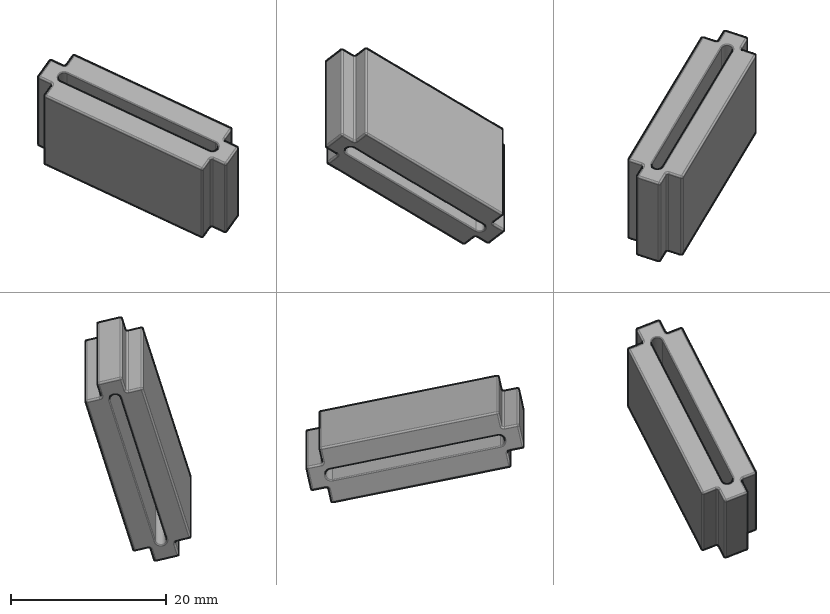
import cadquery as cq

length = 28.0
depth = 7.7
height = 15.0
block_length = 23.6
tongue_depth = 3.33
edge_radius = 0.25
corner_radius = 0.25
slot_length = 23.52
slot_width = 1.48
slot_edge_radius = 0.15


def make_blank():
    """Upright block with a full-height tongue on each end."""
    block = cq.Workplane("XY").box(block_length, depth, height)
    tongues = cq.Workplane("XY").box(length, tongue_depth, height)
    return block.union(tongues)


def round_inside_corners(body):
    """Fillet the four upright corners where the tongues leave the block."""
    x = block_length / 2
    y = tongue_depth / 2
    for side_x in (-x, x):
        for side_y in (-y, y):
            corner = cq.selectors.NearestToPointSelector((side_x, side_y, 0))
            body = body.edges("|Z").edges(corner).fillet(corner_radius)
    return body


def round_outside_edges(body):
    """Round the outer upright edges together with the top and bottom rims."""
    end_edges = body.faces("<X or >X").edges("|Z")
    side_edges = body.faces("<Y or >Y").edges("|Z")
    rims = body.faces("<Z or >Z").edges()
    return end_edges.add(side_edges).add(rims).fillet(edge_radius)


def cut_slot(body):
    """Cut the round-ended through slot and round its two mouths."""
    slot = cq.Workplane("XY").slot2D(slot_length, slot_width).extrude(height / 2, both=True)
    slotted = body.cut(slot)
    reach_x = slot_length / 2 + slot_edge_radius
    reach_y = slot_width / 2 + slot_edge_radius
    slot_zone = cq.selectors.BoxSelector((-reach_x, -reach_y, -height), (reach_x, reach_y, height))
    mouths = slotted.faces("<Z or >Z").edges(slot_zone)
    return mouths.fillet(slot_edge_radius)


def make_housing():
    """Slotted block with end tongues and rounded edges."""
    body = make_blank()
    body = round_inside_corners(body)
    body = round_outside_edges(body)
    return cut_slot(body)


housing = make_housing()

result = cq.Compound.makeCompound([housing.val()])